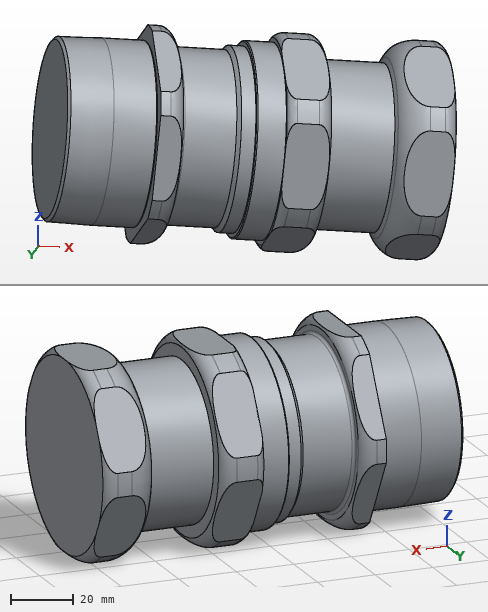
import cadquery as cq
import math


NOSE_RADIUS = 59.7 / 2
SHOULDER_RADIUS = 60.4 / 2
BARREL_RADIUS = 57.5 / 2
COLLAR_RADIUS = 63.9 / 2
SLEEVE_RADIUS = 54.8 / 2

ACROSS_FLATS = 65.0
CORNER_RADIUS = 35.5
ACROSS_CORNERS = ACROSS_FLATS / math.cos(math.pi / 6)

RING_START = 55.5
NUT_START = 61.4
SLEEVE_START = 86.0
END_NUT_START = 107.5
TOTAL_LENGTH = 126.6

NOSE_CHAMFER_LENGTH = 0.9
NOSE_FACE_RADIUS = 28.9
TAPER_END = 14.9
FLANGE_START = 29.2
FLANGE_CROWN_START = 32.5
FLANGE_END = 37.5
CROWN_END_RADIUS = 31.6
FLANGE_FILLET = 1.0
EDGE_CHAMFER = 0.4

RING_CHAMFER_LENGTH = 1.3

NUT_HEX_START = 71.0
NUT_FRONT_CROWN_END = 73.9
NUT_BACK_CROWN_START = 81.1
NUT_FRONT_RADIUS = 33.4

END_NUT_CONE_END = 108.2
END_NUT_CONE_RADIUS = 29.2
END_NUT_FRONT_CROWN_END = 117.6
END_NUT_BACK_CROWN_START = 122.4
END_NUT_BACK_RADIUS = 32.7


def turned(profile):
    """Close an X-radius profile and revolve it about the X axis."""
    return profile.close().revolve(360, (0, 0, 0), (1, 0, 0))


def crown_to(profile, seam_x, edge_x, edge_radius, rising):
    """Add an arc between a crown edge and the corner cylinder, tangent to the cylinder.

    When rising is true the arc rises from the edge to the seam, otherwise it falls from seam to edge.
    """
    drop = CORNER_RADIUS - edge_radius
    arc_radius = ((edge_x - seam_x) ** 2 + drop ** 2) / (2 * drop)
    half_angle = math.atan2(drop, abs(edge_x - seam_x))
    direction = math.copysign(1, edge_x - seam_x)
    middle = (
        seam_x + direction * arc_radius * math.sin(half_angle),
        CORNER_RADIUS - arc_radius * (1 - math.cos(half_angle)),
    )
    end = (seam_x, CORNER_RADIUS) if rising else (edge_x, edge_radius)
    return profile.threePointArc(middle, end)


def hexagon(start, end):
    """Hexagonal prism along X with flats facing +Z and -Z."""
    return (
        cq.Workplane("YZ", origin=(start, 0, 0))
        .polygon(6, ACROSS_CORNERS)
        .extrude(end - start)
    )


def cylinder(start, end, radius):
    """Plain cylinder along X."""
    return cq.Workplane("YZ", origin=(start, 0, 0)).circle(radius).extrude(end - start)


def make_entry_body():
    """Tapered entry, hexagonal flange and barrel."""
    entry = turned(
        cq.Workplane("XY")
        .moveTo(0, 0)
        .lineTo(0, NOSE_FACE_RADIUS)
        .lineTo(NOSE_CHAMFER_LENGTH, NOSE_RADIUS)
        .lineTo(TAPER_END, SHOULDER_RADIUS)
        .lineTo(FLANGE_START - EDGE_CHAMFER, SHOULDER_RADIUS)
        .lineTo(FLANGE_START, SHOULDER_RADIUS - EDGE_CHAMFER)
        .lineTo(FLANGE_START, 0)
    )
    crown = cq.Workplane("XY").moveTo(FLANGE_START, 0)
    crown = crown.lineTo(FLANGE_START, CORNER_RADIUS).lineTo(FLANGE_CROWN_START, CORNER_RADIUS)
    crown = crown_to(crown, FLANGE_CROWN_START, FLANGE_END, CROWN_END_RADIUS, rising=False)
    crown = turned(crown.lineTo(FLANGE_END, 0))
    flange = hexagon(FLANGE_START, FLANGE_END).intersect(crown)

    fillet_middle = FLANGE_FILLET * (1 - math.sqrt(0.5))
    barrel = turned(
        cq.Workplane("XY")
        .moveTo(FLANGE_END, 0)
        .lineTo(FLANGE_END, BARREL_RADIUS + FLANGE_FILLET)
        .threePointArc(
            (FLANGE_END + fillet_middle, BARREL_RADIUS + fillet_middle),
            (FLANGE_END + FLANGE_FILLET, BARREL_RADIUS),
        )
        .lineTo(RING_START, BARREL_RADIUS)
        .lineTo(RING_START, 0)
    )
    return entry.union(flange).union(barrel)


def make_spacer_ring():
    """Solid spacer disc with a chamfer rising from the barrel."""
    ring = cq.Workplane("XY").moveTo(RING_START, 0).lineTo(RING_START, BARREL_RADIUS)
    ring = ring.lineTo(RING_START + RING_CHAMFER_LENGTH, SHOULDER_RADIUS)
    ring = ring.lineTo(NUT_START, SHOULDER_RADIUS).lineTo(NUT_START, 0)
    return turned(ring)


def make_middle_nut():
    """Round collar followed by a hexagon crowned at both ends."""
    collar = cylinder(NUT_START, NUT_HEX_START, COLLAR_RADIUS).faces("<X").chamfer(EDGE_CHAMFER)
    crown = cq.Workplane("XY").moveTo(NUT_HEX_START, 0).lineTo(NUT_HEX_START, NUT_FRONT_RADIUS)
    crown = crown_to(crown, NUT_FRONT_CROWN_END, NUT_HEX_START, NUT_FRONT_RADIUS, rising=True)
    crown = crown.lineTo(NUT_BACK_CROWN_START, CORNER_RADIUS)
    crown = crown_to(crown, NUT_BACK_CROWN_START, SLEEVE_START, CROWN_END_RADIUS, rising=False)
    crown = turned(crown.lineTo(SLEEVE_START, 0))
    return collar.union(hexagon(NUT_HEX_START, SLEEVE_START).intersect(crown))


def make_sleeve():
    """Plain round sleeve between the two nuts."""
    return cylinder(SLEEVE_START, END_NUT_START, SLEEVE_RADIUS)


def make_end_nut():
    """Hexagonal nut with a short cone and a long crown at the front, a short crown at the back."""
    crown = cq.Workplane("XY").moveTo(END_NUT_START, 0).lineTo(END_NUT_START, SLEEVE_RADIUS)
    crown = crown.lineTo(END_NUT_CONE_END, END_NUT_CONE_RADIUS)
    crown = crown_to(crown, END_NUT_FRONT_CROWN_END, END_NUT_CONE_END, END_NUT_CONE_RADIUS, rising=True)
    crown = crown.lineTo(END_NUT_BACK_CROWN_START, CORNER_RADIUS)
    crown = crown_to(crown, END_NUT_BACK_CROWN_START, TOTAL_LENGTH, END_NUT_BACK_RADIUS, rising=False)
    crown = turned(crown.lineTo(TOTAL_LENGTH, 0))
    return hexagon(END_NUT_START, TOTAL_LENGTH).intersect(crown)


entry_body = make_entry_body()
spacer_ring = make_spacer_ring()
middle_nut = make_middle_nut()
sleeve = make_sleeve()
end_nut = make_end_nut()

result = cq.Compound.makeCompound([
    entry_body.solids().val(),
    spacer_ring.solids().val(),
    middle_nut.solids().val(),
    sleeve.solids().val(),
    end_nut.solids().val(),
])